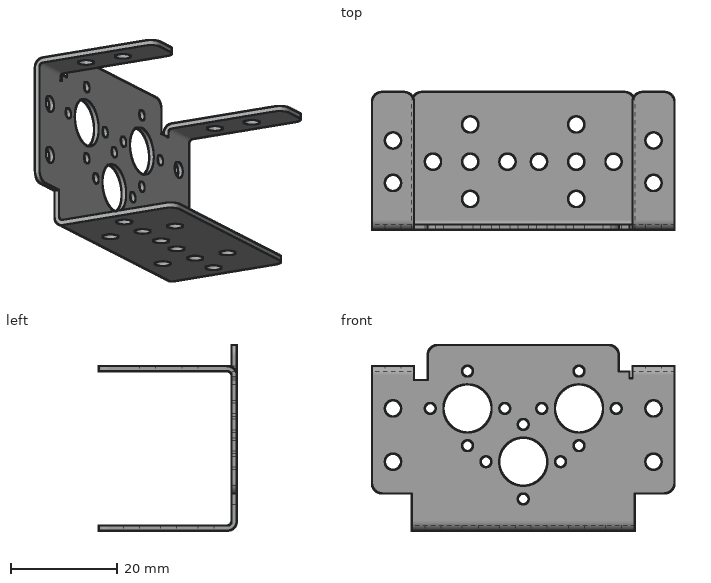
import cadquery as cq


length = 57.0
depth = 26.0
height = 35.0

bend_inner = 0.75
bend_outer = 1.75
thickness = bend_outer - bend_inner
corner_radius = 2.0

foot_width = 42.0
ear_bottom = 7.0
crest_width = 36.0

tab_width = 8.0
tab_top = 31.0
tab_center = length / 2 - tab_width / 2
tab_inner_edge = length / 2 - tab_width

notch_floor = 28.4
shelf_height = 30.0
slot_floor = 28.7
slot_width = 0.5

mount_diameter = 3.0
motor_diameter = 9.0
screw_diameter = 2.0
screw_circle_radius = 7.0
upper_motor_x = 10.5
upper_row_z = 23.0
lower_row_z = 13.0
flange_center_y = 12.8
tab_hole_spacing = 8.0
pattern_x = 10.0
pattern_pitch = 7.0


def cross_points(x, y, pitch):
    """Four points around (x, y), one along each axis direction."""
    return [(x - pitch, y), (x + pitch, y), (x, y - pitch), (x, y + pitch)]


def make_wall():
    """Upright wall between the bend lines, with reliefs and rounded corners."""
    half_length = length / 2
    half_foot = foot_width / 2
    half_crest = crest_width / 2
    tab_bend_line = tab_top - bend_outer
    shelf_end = tab_inner_edge - slot_width
    outline = [
        (-half_foot, bend_outer),
        (-half_foot, ear_bottom),
        (-half_length, ear_bottom),
        (-half_length, tab_bend_line),
        (-tab_inner_edge, tab_bend_line),
        (-tab_inner_edge, notch_floor),
        (-half_crest, notch_floor),
        (-half_crest, height),
        (half_crest, height),
        (half_crest, shelf_height),
        (shelf_end, shelf_height),
        (shelf_end, slot_floor),
        (tab_inner_edge, slot_floor),
        (tab_inner_edge, tab_bend_line),
        (half_length, tab_bend_line),
        (half_length, ear_bottom),
        (half_foot, ear_bottom),
        (half_foot, bend_outer),
    ]
    wall = cq.Workplane("XZ").polyline(outline).close().extrude(-thickness)
    wall = wall.faces(">Z").edges("|Y").fillet(corner_radius)
    for side in ("<X", ">X"):
        wall = wall.faces(side).edges("|Y").edges("<Z").fillet(corner_radius)
    return wall


def make_flange(width):
    """Quarter bend and flat flange, with its outer face on Z = 0."""
    flange = (
        cq.Workplane("YZ")
        .moveTo(0, bend_outer)
        .radiusArc((bend_outer, 0), -bend_outer)
        .lineTo(depth, 0)
        .lineTo(depth, thickness)
        .lineTo(bend_outer, thickness)
        .radiusArc((thickness, bend_outer), bend_inner)
        .close()
        .extrude(width / 2, both=True)
    )
    return flange.faces(">Y").edges("|Z").fillet(corner_radius)


def drill_flange(flange, points):
    """Cut mounting holes through a flange lying on Z = 0."""
    holes = cq.Workplane("XY").pushPoints(points).circle(mount_diameter / 2).extrude(thickness)
    return flange.cut(holes)


def drill_wall(wall, points, diameter):
    """Cut equal round holes through the wall at (X, Z) points."""
    holes = cq.Workplane("XZ").pushPoints(points).circle(diameter / 2).extrude(-thickness)
    return wall.cut(holes)


motor_points = [(-upper_motor_x, upper_row_z), (upper_motor_x, upper_row_z), (0, lower_row_z)]
ear_points = [(x, z) for x in (-tab_center, tab_center) for z in (lower_row_z, upper_row_z)]
wall = drill_wall(make_wall(), motor_points, motor_diameter)
for motor_x, motor_z in motor_points:
    wall = drill_wall(wall, cross_points(motor_x, motor_z, screw_circle_radius), screw_diameter)
wall = drill_wall(wall, ear_points, mount_diameter)

foot = make_flange(foot_width)
for cross_x in (-pattern_x, pattern_x):
    foot_points = [(cross_x, flange_center_y)]
    foot_points += cross_points(cross_x, flange_center_y, pattern_pitch)
    foot = drill_flange(foot, foot_points)

tab_points = [(0, flange_center_y + side * tab_hole_spacing / 2) for side in (-1, 1)]
tab = drill_flange(make_flange(tab_width), tab_points).mirror("XY")

result = wall.union(foot)
for tab_x in (-tab_center, tab_center):
    result = result.union(tab.translate((tab_x, 0, tab_top)))